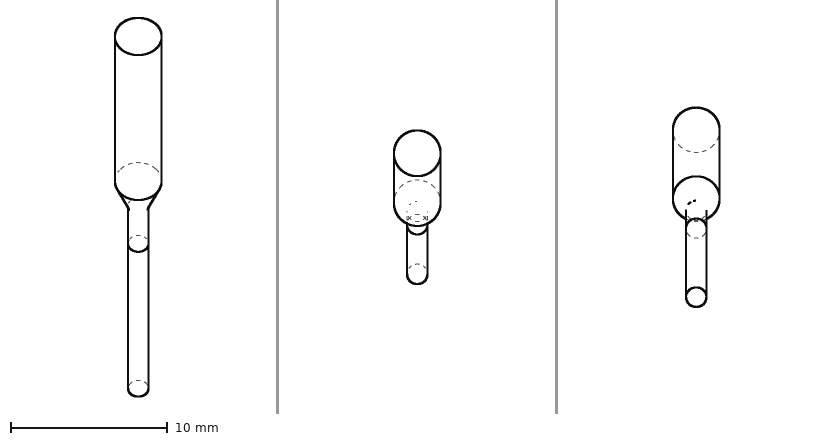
import cadquery as cq

total_length = 37.5
shank_bottom = 22.2
neck_top = 19.6
joint_height = 15.65
point_height = 0.38

shank_diameter = 3.0
chamfer_width = 0.15
chamfer_height = 0.05

drill_diameter = 1.3

shank_radius = shank_diameter / 2
drill_radius = drill_diameter / 2


def revolve_profile(points):
    """Turn a closed outline of (radius, height) points around the Z axis."""
    return cq.Workplane("XZ").polyline(points).close().revolve(360, (0, 0), (0, 1))


def make_holder():
    """Round shank with a chamfered top, a tapered shoulder and a neck."""
    return revolve_profile([
        (0, joint_height),
        (drill_radius, joint_height),
        (drill_radius, neck_top),
        (shank_radius, shank_bottom),
        (shank_radius, total_length - chamfer_height),
        (shank_radius - chamfer_width, total_length),
        (0, total_length),
    ])


def make_drill():
    """Round drill with a conical point, butted against the neck."""
    return revolve_profile([
        (0, 0),
        (drill_radius, point_height),
        (drill_radius, joint_height),
        (0, joint_height),
    ])


holder = make_holder()
drill = make_drill()

result = cq.Compound.makeCompound([holder.val(), drill.val()])